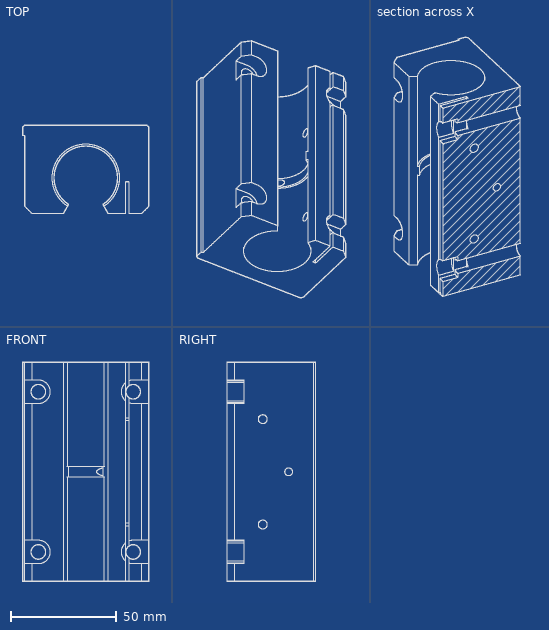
import cadquery as cq
import math

WIDTH = 60.0
DEPTH = 42.0
LENGTH = 104.0
BACK_Y = 25.0
FRONT_Y = BACK_Y - DEPTH
RIGHT_X = WIDTH / 2
LEFT_X = -WIDTH / 2

LEDGE_STEP = 1.0
LEDGE_DEPTH = 5.0
BACK_CHAMFER = 1.0
FRONT_CHAMFER = 3.5

BORE_RADIUS = 16.0
RING_RADIUS = 15.0
RING_LENGTH = 5.0
MOUTH_HALF_WIDTH = 10.6
MOUTH_WALL_ANGLE = 30.0
MOUTH_INNER_Y = -7.5

SLOT_X = 19.65
SLOT_WIDTH = 1.5
SLOT_DEPTH = 15.0
CLAMP_HOLE_DIAMETER = 4.2
CLAMP_HOLE_Y = 0.0
CLAMP_HOLE_SPACING = 50.0

OIL_HOLE_DIAMETER = 3.7
OIL_HOLE_Y = 12.25

MOUNT_SPACING_X = 45.0
MOUNT_SPACING_Z = 76.0
MOUNT_HOLE_DIAMETER = 6.8
POCKET_WIDTH = 11.2
POCKET_DEPTH = 8.0


def block():
    """Chamfered outline with the ledge on the left, extruded along Z."""
    body_left_x = LEFT_X + LEDGE_STEP
    ledge_front_y = BACK_Y - LEDGE_DEPTH
    return (
        cq.Workplane("XY")
        .moveTo(LEFT_X + BACK_CHAMFER, BACK_Y)
        .lineTo(RIGHT_X - BACK_CHAMFER, BACK_Y)
        .lineTo(RIGHT_X, BACK_Y - BACK_CHAMFER)
        .lineTo(RIGHT_X, FRONT_Y + FRONT_CHAMFER)
        .lineTo(RIGHT_X - FRONT_CHAMFER, FRONT_Y)
        .lineTo(body_left_x + FRONT_CHAMFER, FRONT_Y)
        .lineTo(body_left_x, FRONT_Y + FRONT_CHAMFER)
        .lineTo(body_left_x, ledge_front_y)
        .lineTo(LEFT_X, ledge_front_y)
        .lineTo(LEFT_X, BACK_Y - BACK_CHAMFER)
        .close()
        .extrude(LENGTH / 2, both=True)
    )


def bore():
    """Bore from both ends, leaving the narrower ring at mid-length."""
    ring_bore = cq.Workplane("XY").circle(RING_RADIUS).extrude(LENGTH / 2, both=True)
    end_length = (LENGTH - RING_LENGTH) / 2
    end_bores = (
        cq.Workplane("XY", origin=(0, 0, RING_LENGTH / 2))
        .circle(BORE_RADIUS)
        .extrude(end_length)
    )
    return ring_bore.union(end_bores).union(end_bores.mirror("XY"))


def mouth():
    """Opening from the bore to the front face, widening towards the front."""
    taper_depth = MOUTH_INNER_Y - FRONT_Y
    inner_half_width = MOUTH_HALF_WIDTH - taper_depth * math.tan(math.radians(MOUTH_WALL_ANGLE))
    return (
        cq.Workplane("XY")
        .polyline([
            (-MOUTH_HALF_WIDTH, FRONT_Y),
            (MOUTH_HALF_WIDTH, FRONT_Y),
            (inner_half_width, MOUTH_INNER_Y),
            (-inner_half_width, MOUTH_INNER_Y),
        ])
        .close()
        .extrude(LENGTH / 2, both=True)
    )


def clamp_slot():
    """Narrow full-length slot that lets the right lip flex."""
    return cq.Workplane("XY").box(SLOT_WIDTH, SLOT_DEPTH, LENGTH).translate(
        (SLOT_X, FRONT_Y + SLOT_DEPTH / 2, 0)
    )


def right_side_hole(diameter, y, z):
    """Hole along X from the right face to the middle of the bore."""
    return (
        cq.Workplane("YZ", origin=(0, y, z))
        .circle(diameter / 2)
        .extrude(RIGHT_X)
    )


def oil_hole():
    """Hole from the right face that ends inside the bore opening."""
    return right_side_hole(OIL_HOLE_DIAMETER, OIL_HOLE_Y, 0)


def mounting_cut(side, z):
    """Through hole along Y and a round-ended head pocket open to the given side (-1 or 1)."""
    x = side * MOUNT_SPACING_X / 2
    hole = (
        cq.Workplane("XZ", origin=(x, BACK_Y, z))
        .circle(MOUNT_HOLE_DIAMETER / 2)
        .extrude(DEPTH)
    )
    pocket_start = cq.Workplane("XZ", origin=(x, FRONT_Y + POCKET_DEPTH, z))
    round_end = pocket_start.circle(POCKET_WIDTH / 2).extrude(POCKET_DEPTH)
    run_out = RIGHT_X - abs(x)
    channel = (
        pocket_start.center(side * run_out / 2, 0)
        .rect(run_out, POCKET_WIDTH)
        .extrude(POCKET_DEPTH)
    )
    return hole.union(round_end).union(channel)


result = block().cut(bore()).cut(mouth()).cut(clamp_slot()).cut(oil_hole())
for end in (-1, 1):
    result = result.cut(
        right_side_hole(CLAMP_HOLE_DIAMETER, CLAMP_HOLE_Y, end * CLAMP_HOLE_SPACING / 2)
    )
    for side in (-1, 1):
        result = result.cut(mounting_cut(side, end * MOUNT_SPACING_Z / 2))